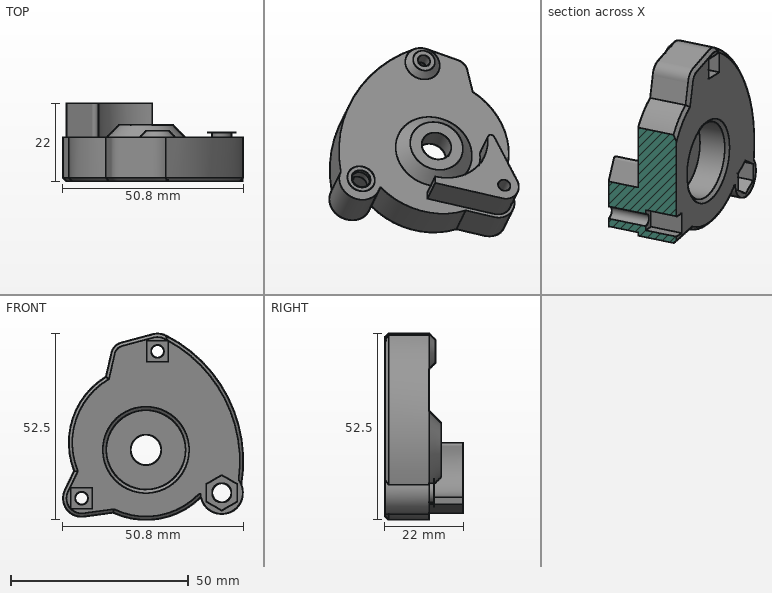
import cadquery as cq
import math


BODY_DEPTH = 12.45
EDGE_CHAMFER = 1.0
RIM_CENTER = (0, 2.0)
RIM_RADIUS = 21.75
SWEEP_CENTER = (-12.35, -3.25)
SWEEP_RADIUS = 39.75
SWEEP_END_ANGLE = -9.7

RIM_TOP_ANGLE = 121.3
RIM_LEFT_ANGLE = 201.4
RIM_BOTTOM_ANGLE = 244.9
RIM_END_ANGLE = 315

TOP_SCREW = (3.25, 27.7)
LEFT_SCREW = (-18.1, -13.6)
TOP_LUG_RADIUS = 5.05
LEFT_LUG_RADIUS = 5.25
CORNER_CENTER = (-5.9, 26.35)
CORNER_RADIUS = 4.0
TOP_EDGE_NORMAL = 105
CORNER_SIDE_NORMAL = 174
LEFT_EDGE_NORMAL = 153.2
BOTTOM_EDGE_NORMAL = 277.3

SCREW_HOLE_DIA = 3.5
SQUARE_NUT = 6.0
SQUARE_POCKET_DEPTH = 10
TOP_CONE_DIA = 10
TOP_CONE_HEIGHT = 1.85

BEARING_DIA = 22.3
BEARING_DEPTH = 9.0
SHAFT_HOLE_DIA = 8.5
SHAFT_CONE_DIA = 22.05
SHAFT_CONE_HEIGHT = 3.4

BOLT = (21.3, -12.1)
BOLT_LUG_RADIUS = 6.0
BOLT_HOLE_DIA = 5.3
HEX_CORNER_DIA = 10
HEX_DEPTH = 10
SLEEVE_WALL = 0.1
SLEEVE_HEIGHT = 1.35
FLANGE_DIA = 7.95
FLANGE_THICKNESS = 0.1

OVERALL_DEPTH = 22.0
BLOCK_LUG_RADIUS = 4.25
BLOCK_TIP_RADIUS = 1.0
BLOCK_END_X = 1.85
BLOCK_INNER_RADIUS = 13.4


def polar(center, radius, angle):
    """Point at an angle in degrees on a circle in the XZ plane."""
    a = math.radians(angle)
    return (center[0] + radius * math.cos(a), center[1] + radius * math.sin(a))


def arc_to(sketch, center, radius, start, end):
    """Continue an outline along a circle from its start angle to its end angle."""
    middle = polar(center, radius, (start + end) / 2)
    return sketch.threePointArc(middle, polar(center, radius, end))


def plane_at(y):
    """XZ workplane at a depth y; a negative extrusion goes toward +Y."""
    return cq.Workplane("XZ", origin=(0, y, 0))


def cylinder(center, diameter, y, length):
    return plane_at(y).center(*center).circle(diameter / 2).extrude(-length)


def cone(center, base_dia, y, height):
    """Truncated 45 degree cone that narrows toward +Y."""
    base_radius = base_dia / 2
    base_point = cq.Vector(center[0], y, center[1])
    solid = cq.Solid.makeCone(base_radius, base_radius - height, height, base_point, cq.Vector(0, 1, 0))
    return cq.Workplane(solid)


def make_body():
    sweep_start = math.degrees(math.atan2(TOP_SCREW[1] - SWEEP_CENTER[1], TOP_SCREW[0] - SWEEP_CENTER[0]))
    outline = plane_at(0).moveTo(*polar(RIM_CENTER, RIM_RADIUS, RIM_TOP_ANGLE))
    outline = arc_to(outline, RIM_CENTER, RIM_RADIUS, RIM_TOP_ANGLE, RIM_LEFT_ANGLE)
    outline = outline.lineTo(*polar(LEFT_SCREW, LEFT_LUG_RADIUS, LEFT_EDGE_NORMAL))
    outline = arc_to(outline, LEFT_SCREW, LEFT_LUG_RADIUS, LEFT_EDGE_NORMAL, BOTTOM_EDGE_NORMAL)
    outline = outline.lineTo(*polar(RIM_CENTER, RIM_RADIUS, RIM_BOTTOM_ANGLE))
    outline = arc_to(outline, RIM_CENTER, RIM_RADIUS, RIM_BOTTOM_ANGLE, RIM_END_ANGLE)
    outline = outline.lineTo(*polar(SWEEP_CENTER, SWEEP_RADIUS, SWEEP_END_ANGLE))
    outline = arc_to(outline, SWEEP_CENTER, SWEEP_RADIUS, SWEEP_END_ANGLE, sweep_start)
    outline = outline.lineTo(*polar(TOP_SCREW, TOP_LUG_RADIUS, sweep_start))
    outline = arc_to(outline, TOP_SCREW, TOP_LUG_RADIUS, sweep_start, TOP_EDGE_NORMAL)
    outline = outline.lineTo(*polar(CORNER_CENTER, CORNER_RADIUS, TOP_EDGE_NORMAL))
    outline = arc_to(outline, CORNER_CENTER, CORNER_RADIUS, TOP_EDGE_NORMAL, CORNER_SIDE_NORMAL)
    return outline.close().extrude(-BODY_DEPTH).faces("<Y").edges().chamfer(EDGE_CHAMFER)


def make_block():
    """Arm that wraps the shaft cone and carries the left screw."""
    lug_bottom = polar(LEFT_SCREW, BLOCK_LUG_RADIUS, BOTTOM_EDGE_NORMAL)
    slope = math.tan(math.radians(BOTTOM_EDGE_NORMAL - 270))
    end_z = lug_bottom[1] + slope * (BLOCK_END_X - lug_bottom[0])
    normal = polar((0, 0), 1, LEFT_EDGE_NORMAL)
    lug_offset = LEFT_SCREW[0] * normal[0] + LEFT_SCREW[1] * normal[1]
    tip_offset = lug_offset + BLOCK_LUG_RADIUS - BLOCK_TIP_RADIUS
    tip_distance = BLOCK_INNER_RADIUS + BLOCK_TIP_RADIUS
    tip_angle = LEFT_EDGE_NORMAL + math.degrees(math.acos(tip_offset / tip_distance))
    tip = polar((0, 0), tip_distance, tip_angle)
    end_angle = 360 - math.degrees(math.acos(BLOCK_END_X / BLOCK_INNER_RADIUS))

    outline = plane_at(BODY_DEPTH).moveTo(*polar((0, 0), BLOCK_INNER_RADIUS, end_angle))
    outline = arc_to(outline, (0, 0), BLOCK_INNER_RADIUS, end_angle, tip_angle)
    outline = arc_to(outline, tip, BLOCK_TIP_RADIUS, tip_angle - 180, LEFT_EDGE_NORMAL)
    outline = outline.lineTo(*polar(LEFT_SCREW, BLOCK_LUG_RADIUS, LEFT_EDGE_NORMAL))
    outline = arc_to(outline, LEFT_SCREW, BLOCK_LUG_RADIUS, LEFT_EDGE_NORMAL, BOTTOM_EDGE_NORMAL)
    outline = outline.lineTo(BLOCK_END_X, end_z)
    return outline.close().extrude(BODY_DEPTH - OVERALL_DEPTH)


def make_bolt_lug():
    """Round lug with a thin flanged sleeve at the back."""
    lug = cylinder(BOLT, 2 * BOLT_LUG_RADIUS, 0, BODY_DEPTH)
    sleeve = cylinder(BOLT, BOLT_HOLE_DIA + 2 * SLEEVE_WALL, BODY_DEPTH, SLEEVE_HEIGHT)
    flange_y = BODY_DEPTH + SLEEVE_HEIGHT - FLANGE_THICKNESS
    return lug.union(sleeve).union(cylinder(BOLT, FLANGE_DIA, flange_y, FLANGE_THICKNESS))


def cut_screw(part, center):
    part = part.cut(cylinder(center, SCREW_HOLE_DIA, 0, OVERALL_DEPTH))
    pocket = plane_at(0).center(*center).rect(SQUARE_NUT, SQUARE_NUT).extrude(-SQUARE_POCKET_DEPTH)
    return part.cut(pocket)


def cut_bearing_seat(part):
    seat = cylinder((0, 0), BEARING_DIA, 0, BEARING_DEPTH)
    mouth = cone((0, 0), BEARING_DIA + 2 * EDGE_CHAMFER, 0, EDGE_CHAMFER)
    return part.cut(seat).cut(mouth).cut(cylinder((0, 0), SHAFT_HOLE_DIA, 0, OVERALL_DEPTH))


def cut_bolt(part):
    part = part.cut(cylinder(BOLT, BOLT_HOLE_DIA, 0, OVERALL_DEPTH))
    hexagon = plane_at(0).center(*BOLT).transformed(rotate=(0, 0, 90)).polygon(6, HEX_CORNER_DIA)
    return part.cut(hexagon.extrude(-HEX_DEPTH))


result = make_body().union(make_bolt_lug()).union(make_block())
result = result.union(cone((0, 0), SHAFT_CONE_DIA, BODY_DEPTH, SHAFT_CONE_HEIGHT))
result = result.union(cone(TOP_SCREW, TOP_CONE_DIA, BODY_DEPTH, TOP_CONE_HEIGHT))
for screw in (TOP_SCREW, LEFT_SCREW):
    result = cut_screw(result, screw)
result = cut_bolt(cut_bearing_seat(result))